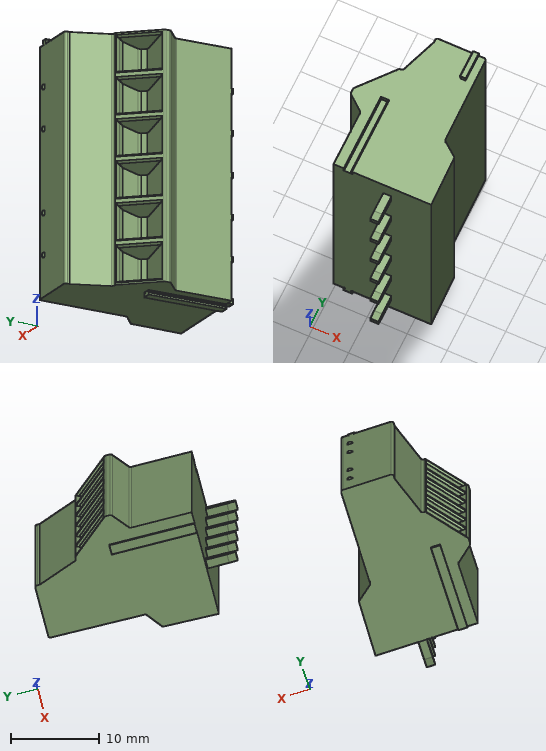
import cadquery as cq
import math

POLES = 6
PITCH = 5.08
LENGTH = POLES * PITCH
MID_Z = LENGTH / 2
OVERALL_Y = 23.1

TIP_X = -2.02
TIP_LOW_Y = 8.93
ENTRY_LOW = (TIP_X, 9.66)
ENTRY_HIGH = (1.68, 14.10)
LEDGE = (2.09, ENTRY_HIGH[1])
HEAD_LEFT = (3.80, 18.8)
BODY_TOP_Y = 19.40
HEAD_RIGHT = 10.08
SHOULDER_IN = (10.20, 8.05)
SHOULDER_OUT = (12.08, 6.56)
BASE_RIGHT = 12.23
WALL_TOP_Y = 7.25
TIP_LOW_RADIUS = 0.30
TIP_HIGH_RADIUS = 0.35
WALL_RADIUS = 0.30
HEAD_RADIUS = 0.28
INNER_RADIUS = 0.30

RIM_WALL = 0.25
RIM_INSET = 0.50
FLOOR_INSET = 1.17
RIM_DEPTH = 0.30
FUNNEL_DEPTH = 2.50
FUNNEL_HIGH_Y = 14.00
FUNNEL_BEND_Y = 13.55
FUNNEL_BEND_DEPTH = 0.40
BACK_WALL_HIGH_Y = 12.88
BACK_WALL_LOW_Y = 10.86
BACK_WALL_LEAN = 0.15
FLOOR_LIP_Y = 10.42
FUNNEL_LOW_Y = 9.89
CUT_CLEARANCE = 5.0

PIN_X = 6.75
PIN_WIDTH = 1.02
PIN_THICK = 0.90
PIN_TIP_THICK = 0.60
PIN_LENGTH = 3.50
PIN_TAPER = 1.02

RAIL_HEIGHT = 0.58
BASE_RAIL_X = 1.80
BASE_RAIL_LENGTH = 10.0
BASE_RAIL_FLANK = [(0, 0.52), (0.10, 0.38), (0.33, 0.56), (RAIL_HEIGHT, 0.56)]
HEAD_RAIL_X = 8.80
HEAD_RAIL_LENGTH = 3.50
HEAD_RAIL_FLANK = [(0, 0.30), (0.12, 0.30), (0.46, 0.41), (RAIL_HEIGHT, 0.33)]

STUD_X = 8.95
STUD_RADIUS = 0.32
STUD_HEIGHT = OVERALL_Y - PIN_LENGTH - BODY_TOP_Y
STUD_BOUNDARIES = (1, 2, 4, 5)

ENTRY_SLOPE = (ENTRY_HIGH[0] - ENTRY_LOW[0]) / (ENTRY_HIGH[1] - ENTRY_LOW[1])
ENTRY_ANGLE = math.atan(ENTRY_SLOPE)


def entry_point(y, depth=0.0):
    """Point at height y, the given depth square below the entry face."""
    face_x = ENTRY_LOW[0] + (y - ENTRY_LOW[1]) * ENTRY_SLOPE
    return (face_x + depth / math.cos(ENTRY_ANGLE), y)


def housing():
    fillets = [
        ((TIP_X, TIP_LOW_Y), TIP_LOW_RADIUS),
        (ENTRY_LOW, TIP_HIGH_RADIUS),
        ((0, WALL_TOP_Y), WALL_RADIUS),
        (LEDGE, INNER_RADIUS),
        ((HEAD_LEFT[0], BODY_TOP_Y), HEAD_RADIUS),
        ((HEAD_RIGHT, BODY_TOP_Y), HEAD_RADIUS),
        (SHOULDER_IN, INNER_RADIUS),
    ]
    outline = [
        (0, 0),
        (0, WALL_TOP_Y),
        (TIP_X, TIP_LOW_Y),
        ENTRY_LOW,
        ENTRY_HIGH,
        LEDGE,
        HEAD_LEFT,
        (HEAD_LEFT[0], BODY_TOP_Y),
        (HEAD_RIGHT, BODY_TOP_Y),
        SHOULDER_IN,
        SHOULDER_OUT,
        (BASE_RIGHT, 0),
    ]
    body = cq.Workplane("XY").polyline(outline).close().extrude(LENGTH)
    for (x, y), radius in fillets:
        body = body.edges(cq.selectors.NearestToPointSelector((x, y, MID_Z))).fillet(radius)
    return body


def funnel(center_z):
    """Wire entry: a drafted well trimmed to the funnel's side profile."""
    back_x = entry_point(BACK_WALL_LOW_Y, FUNNEL_DEPTH)[0]
    lip_x = back_x - (FLOOR_LIP_Y - FUNNEL_LOW_Y) * ENTRY_SLOPE
    profile = [
        entry_point(FUNNEL_HIGH_Y),
        entry_point(FUNNEL_BEND_Y, FUNNEL_BEND_DEPTH),
        (back_x - BACK_WALL_LEAN, BACK_WALL_HIGH_Y),
        (back_x, BACK_WALL_LOW_Y),
        (back_x, FLOOR_LIP_Y),
        (lip_x, FUNNEL_LOW_Y),
        (TIP_X - CUT_CLEARANCE, FUNNEL_LOW_Y),
        (TIP_X - CUT_CLEARANCE, FUNNEL_HIGH_Y),
    ]
    trim = (
        cq.Workplane("XY", origin=(0, 0, center_z - PITCH / 2))
        .polyline(profile).close().extrude(PITCH)
    )
    half = PITCH / 2
    flank = [
        (-CUT_CLEARANCE, half - RIM_WALL),
        (0, half - RIM_WALL),
        (RIM_DEPTH, half - RIM_INSET),
        (FUNNEL_DEPTH, half - FLOOR_INSET),
        (FUNNEL_DEPTH + CUT_CLEARANCE, half - FLOOR_INSET),
    ]
    mirrored = [(depth, -width) for depth, width in reversed(flank)]
    inward = (math.cos(ENTRY_ANGLE), -math.sin(ENTRY_ANGLE), 0)
    along = (-math.sin(ENTRY_ANGLE), -math.cos(ENTRY_ANGLE), 0)
    section = cq.Plane(origin=(*ENTRY_LOW, center_z), xDir=inward, normal=along)
    half_run = math.dist(ENTRY_LOW, ENTRY_HIGH) + CUT_CLEARANCE
    well = cq.Workplane(section).polyline(flank + mirrored).close().extrude(half_run, both=True)
    return trim.intersect(well)


def pin(center_z):
    half = PIN_THICK / 2
    tip = PIN_TIP_THICK / 2
    taper_y = PIN_TAPER - PIN_LENGTH
    return (
        cq.Workplane("YZ", origin=(PIN_X - PIN_WIDTH / 2, 0, center_z))
        .moveTo(0, -half).lineTo(taper_y, -half).lineTo(-PIN_LENGTH, -tip)
        .lineTo(-PIN_LENGTH, tip).lineTo(taper_y, half).lineTo(0, half).close()
        .extrude(PIN_WIDTH)
    )


def rail(center_x, root_z, direction, flank, start_y, length):
    """Bar along Y with a symmetric section that grows from root_z in the given Z direction."""
    left = [(center_x - half, root_z + direction * height) for height, half in flank]
    right = [(center_x + half, root_z + direction * height) for height, half in reversed(flank)]
    return (
        cq.Workplane("XZ", origin=(0, start_y, 0))
        .polyline(left + right).close().extrude(-length)
    )


def base_rail(root_z):
    return rail(BASE_RAIL_X, root_z, -1, BASE_RAIL_FLANK, 0, BASE_RAIL_LENGTH)


def head_rail():
    start_y = BODY_TOP_Y - HEAD_RAIL_LENGTH
    return rail(HEAD_RAIL_X, LENGTH, 1, HEAD_RAIL_FLANK, start_y, HEAD_RAIL_LENGTH)


def stud(center_z):
    """Shallow spherical dome."""
    sphere_radius = (STUD_RADIUS ** 2 + STUD_HEIGHT ** 2) / (2 * STUD_HEIGHT)
    sphere_y = BODY_TOP_Y + STUD_HEIGHT - sphere_radius
    disc = (
        cq.Workplane("XZ", origin=(STUD_X, BODY_TOP_Y, center_z))
        .circle(sphere_radius).extrude(-STUD_HEIGHT)
    )
    ball = cq.Workplane("XY", origin=(STUD_X, sphere_y, center_z)).sphere(sphere_radius)
    return disc.intersect(ball)


result = housing().cut(base_rail(LENGTH))
for pole in range(POLES):
    pole_z = (pole + 0.5) * PITCH
    result = result.cut(funnel(pole_z)).union(pin(pole_z))
for boundary in STUD_BOUNDARIES:
    result = result.union(stud(boundary * PITCH))
result = result.union(base_rail(0)).union(head_rail())